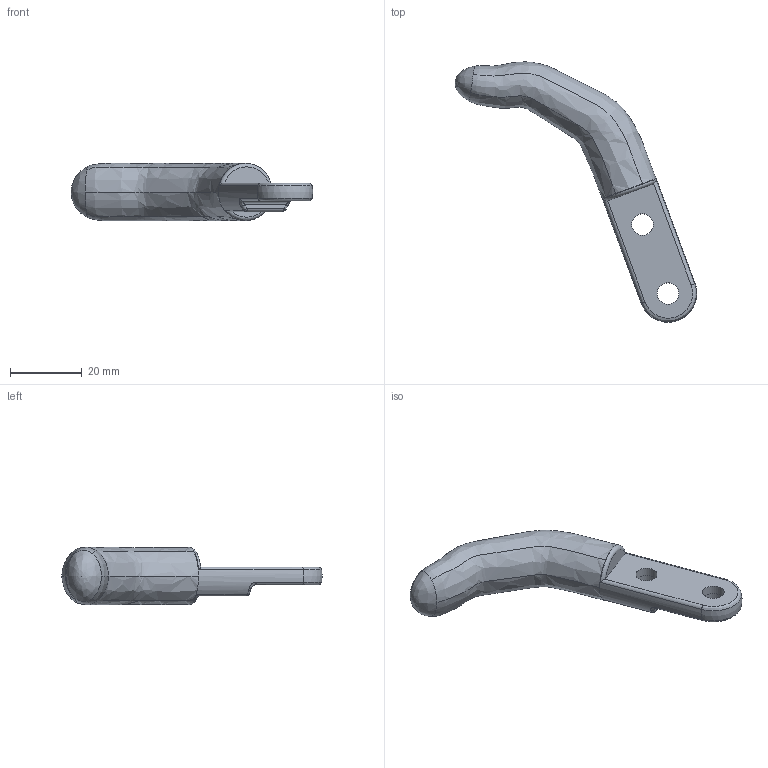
import cadquery as cq
import math

bar_radius = 8.0
bar_angle = 20.3

hole_diameter = 6.0
hole_spacing = 20.5
tang_half_thickness = 2.5
step_start = 15.0
step_depth = 5.5
shoulder_start = 30.1
edge_fillet = 1.0
step_root_fillet = 1.0

rim_clearance = 0.1
grip_start = shoulder_start + edge_fillet + rim_clearance
straight_lengths = [0.0, 4.0, 8.0]
grip_sides = [
    ((-8.6, 45.4), (-23.6, 39.8)),
    ((-13.4, 52.4), (-25.4, 42.6)),
    ((-22.0, 57.7), (-29.4, 45.2)),
    ((-27.0, 60.2), (-32.9, 47.4)),
    ((-32.0, 62.8), (-36.6, 49.7)),
    ((-38.5, 64.5), (-40.8, 51.9)),
    ((-44.0, 64.2), (-45.4, 51.6)),
    ((-50.0, 63.4), (-51.6, 52.4)),
]
face_split = 60

tip_length = 8.6
cap_start = 3.9
rear_tip_shares = [0.3, 0.65, 1.0]

clear = 2 * bar_radius
pick_margin = 0.01


def turned_to_bar(shape):
    """Turn a shape modelled along +Y into the direction of the bar."""
    return shape.rotate((0, 0, 0), (0, 0, 1), bar_angle)


def bar_point(distance, side=0.0):
    """XY point at a distance along the turned bar, offset sideways towards +X."""
    angle = math.radians(bar_angle)
    x = side * math.cos(angle) - distance * math.sin(angle)
    y = side * math.sin(angle) + distance * math.cos(angle)
    return (x, y)


def section_plane(outer, inner):
    """Upright plane midway between two side points: X towards the outer one, normal towards the tip."""
    middle = ((outer[0] + inner[0]) / 2, (outer[1] + inner[1]) / 2, 0)
    across = (outer[0] - inner[0], outer[1] - inner[1], 0)
    return cq.Plane(origin=middle, xDir=across, normal=(-across[1], across[0], 0))


tip_plane = section_plane(*grip_sides[-1])
tip_half_width = math.dist(*grip_sides[-1]) / 2


def section_wire(plane, half_width, half_height):
    """Ellipse split into six arcs, so that the grip gets upper, lower and side faces."""
    corners = [0, face_split, 180 - face_split, 180, 180 + face_split, 360 - face_split, 360]

    if half_width >= half_height:
        major_axis = plane.xDir
        axis_turn = 0
    else:
        major_axis = plane.yDir
        axis_turn = 90
    radii = (max(half_width, half_height), min(half_width, half_height))
    arcs = [
        cq.Edge.makeEllipse(*radii, plane.origin, plane.zDir, major_axis, start - axis_turn, end - axis_turn)
        for start, end in zip(corners, corners[1:])
    ]
    return cq.Wire.assembleEdges(arcs)


def block(length, z_low, z_high):
    """Block wider than the bar, from beyond its free end up to a distance along it."""
    start = -clear
    size = (2 * clear, length - start, z_high - z_low)
    return cq.Workplane("XY").box(*size, centered=(True, False, False)).translate((0, start, z_low))


def make_bar():
    """Bar along +Y with its tang, step and shoulders, all edges rounded."""
    bar = cq.Workplane("XZ").circle(bar_radius).extrude(-grip_start)
    bar = bar.union(cq.Workplane("XY").sphere(bar_radius).intersect(block(0, -clear, clear)))
    bar = bar.cut(block(shoulder_start, tang_half_thickness, clear))
    bar = bar.cut(block(shoulder_start, -clear, -step_depth))
    step_relief = block(step_start, -clear, -tang_half_thickness)
    bar = bar.cut(step_relief.edges(">Y and >Z").fillet(step_root_fillet))
    return bar.newObject(outer_edges(bar)).fillet(edge_fillet)


def outer_edges(bar):
    """Edges of the relieved bar to round: all but those across it, other than the step's front edge."""
    def in_range(y_low, y_high, z_low, z_high):
        return cq.selectors.BoxSelector((-clear, y_low, z_low), (clear, y_high, z_high))

    def at_level(y_low, y_high, z):
        return in_range(y_low, y_high, z - pick_margin, z + pick_margin)

    step_back = step_start + pick_margin
    tang_top = at_level(-clear, shoulder_start, tang_half_thickness)
    tang_bottom = at_level(-clear, step_start, -tang_half_thickness)
    shoulders = in_range(shoulder_start - pick_margin, shoulder_start + pick_margin, -clear, clear)
    step_end = in_range(step_start - step_root_fillet, step_back, -step_depth, -tang_half_thickness)
    step_flat = at_level(step_start, shoulder_start, -step_depth)
    edges = []
    for region in (tang_top, tang_bottom, shoulders):
        edges += bar.faces(region).edges("not(|X)").vals()
    edges += bar.edges(step_end).edges("not(|X)").vals()
    edges += bar.faces(step_flat).edges("|Y or <Y").vals()
    return edges


def make_grip():
    """Blend from the bar through every bent section and the rear part of the tip."""
    sides = []
    for length in straight_lengths:
        distance = grip_start + length
        sides.append((bar_point(distance, bar_radius), bar_point(distance, -bar_radius)))
    sides += grip_sides
    wires = []
    for outer, inner in sides:
        half_width = math.dist(outer, inner) / 2
        wires.append(section_wire(section_plane(outer, inner), half_width, bar_radius))
    for share in rear_tip_shares:
        distance = share * cap_start
        shrink = math.sqrt(1 - (distance / tip_length) ** 2)
        plane = cq.Plane(tip_plane.toWorldCoords((0, 0, distance)), tip_plane.xDir, tip_plane.zDir)
        wires.append(section_wire(plane, tip_half_width * shrink, bar_radius * shrink))
    return cq.Workplane(cq.Solid.makeLoft(wires))


def make_cap():
    """Front part of the tip ellipsoid, stretched from a unit ball."""
    beyond = cq.Workplane("XY").workplane(offset=cap_start / tip_length).rect(2, 2).extrude(1)
    ball = cq.Workplane("XY").sphere(1).intersect(beyond)
    stretch = cq.Matrix([
        [tip_half_width, 0, 0, 0],
        [0, bar_radius, 0, 0],
        [0, 0, tip_length, 0],
    ])
    return cq.Workplane(ball.val().transformGeometry(stretch).moved(cq.Location(tip_plane)))


def make_holes():
    centres = [bar_point(0), bar_point(hole_spacing)]
    return cq.Workplane("XY").pushPoints(centres).circle(hole_diameter / 2).extrude(bar_radius, both=True)


result = turned_to_bar(make_bar())
result = result.union(make_grip())
result = result.union(make_cap())
result = result.cut(make_holes())